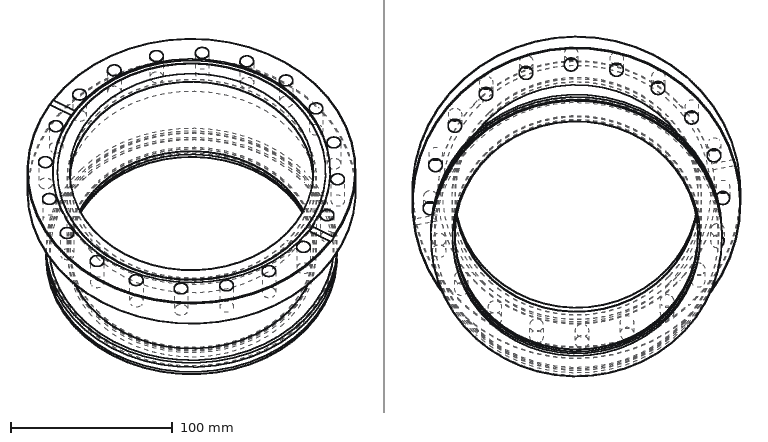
import cadquery as cq

total_height = 90.0

tube_outer_dia = 154.0
tube_inner_dia = 150.0

flange_bore_dia = 150.5
tube_socket_dia = 154.5

clamp_flange_dia = 180.0
clamp_flange_height = 12.0
clamp_recess_dia = 176.0
clamp_recess_depth = 2.5
centering_bore_dia = 153.0
centering_bore_depth = 4.5
rim_groove_bottom = 2.5
rim_groove_width = 5.0
rim_groove_depth = 2.5
recess_floor = clamp_flange_height - clamp_recess_depth
clamp_socket_depth = 1.5
tube_bottom = recess_floor - clamp_socket_depth

bolt_flange_dia = 203.0
bolt_flange_height = 22.0
bolt_flange_bottom = total_height - bolt_flange_height
edge_chamfer = 0.5
tube_seat_depth = 9.5
tube_top = total_height - tube_seat_depth

gasket_recess_dia = 171.4
gasket_recess_depth = 1.7
knife_edge_dia = 165.8
knife_edge_depth = 0.6
inner_face_depth = 1.2

bolt_count = 20
bolt_hole_dia = 8.4
bolt_circle_dia = 181.0

leak_groove_width = 4.0
leak_groove_depth = 1.0
leak_groove_overrun = 1.0


def revolved(profile):
    """Turn an XZ profile (X = radius, Y = height) around the Z axis."""
    return profile.close().revolve(360, (0, 0, 0), (0, 1, 0))


def make_tube():
    return (
        cq.Workplane("XY", origin=(0, 0, tube_bottom))
        .circle(tube_outer_dia / 2)
        .circle(tube_inner_dia / 2)
        .extrude(tube_top - tube_bottom)
    )


def make_clamp_flange():
    outer_r = clamp_flange_dia / 2
    socket_r = tube_socket_dia / 2
    recess_r = clamp_recess_dia / 2
    bore_r = flange_bore_dia / 2
    centering_r = centering_bore_dia / 2
    groove_top = rim_groove_bottom + rim_groove_width
    groove_middle = rim_groove_bottom + rim_groove_width / 2
    profile = (
        cq.Workplane("XZ")
        .moveTo(centering_r, 0)
        .lineTo(outer_r, 0)
        .lineTo(outer_r, rim_groove_bottom)
        .threePointArc((outer_r - rim_groove_depth, groove_middle), (outer_r, groove_top))
        .lineTo(outer_r, clamp_flange_height)
        .lineTo(recess_r, clamp_flange_height)
        .lineTo(recess_r, recess_floor)
        .lineTo(socket_r, recess_floor)
        .lineTo(socket_r, tube_bottom)
        .lineTo(bore_r, tube_bottom)
        .lineTo(bore_r, centering_bore_depth)
        .lineTo(centering_r, centering_bore_depth)
    )
    return revolved(profile)


def bolt_holes():
    """Even pattern, with the X axis midway between two holes."""
    half_pitch = 360 / bolt_count / 2
    return (
        cq.Workplane("XY", origin=(0, 0, bolt_flange_bottom))
        .polarArray(bolt_circle_dia / 2, half_pitch, 360, bolt_count)
        .circle(bolt_hole_dia / 2)
        .extrude(bolt_flange_height)
    )


def leak_groove(side):
    """Shallow round-bottomed groove from the gasket recess to the rim, on the +X or -X side."""
    half_width = leak_groove_width / 2
    radius = (half_width**2 + leak_groove_depth**2) / (2 * leak_groove_depth)
    centre_z = total_height - leak_groove_depth + radius
    start_radius = gasket_recess_dia / 2 - leak_groove_overrun
    length = bolt_flange_dia / 2 - start_radius
    return (
        cq.Workplane("YZ", origin=(side * start_radius, 0, centre_z))
        .circle(radius)
        .extrude(side * length)
    )


def make_bolt_flange():
    outer_r = bolt_flange_dia / 2
    socket_r = tube_socket_dia / 2
    bore_r = flange_bore_dia / 2
    gasket_r = gasket_recess_dia / 2
    knife_r = knife_edge_dia / 2
    inner_face = total_height - inner_face_depth
    profile = (
        cq.Workplane("XZ")
        .moveTo(socket_r, bolt_flange_bottom)
        .lineTo(outer_r - edge_chamfer, bolt_flange_bottom)
        .lineTo(outer_r, bolt_flange_bottom + edge_chamfer)
        .lineTo(outer_r, total_height - edge_chamfer)
        .lineTo(outer_r - edge_chamfer, total_height)
        .lineTo(gasket_r, total_height)
        .lineTo(gasket_r, total_height - gasket_recess_depth)
        .lineTo(knife_r, total_height - knife_edge_depth)
        .lineTo(knife_r, inner_face)
        .lineTo(bore_r, inner_face)
        .lineTo(bore_r, tube_top)
        .lineTo(socket_r, tube_top)
    )
    flange = revolved(profile).cut(bolt_holes())
    for side in (-1, 1):
        flange = flange.cut(leak_groove(side))
    return flange


tube = make_tube()
clamp_flange = make_clamp_flange()
bolt_flange = make_bolt_flange()

result = cq.Compound.makeCompound([tube.val(), clamp_flange.val(), bolt_flange.val()])